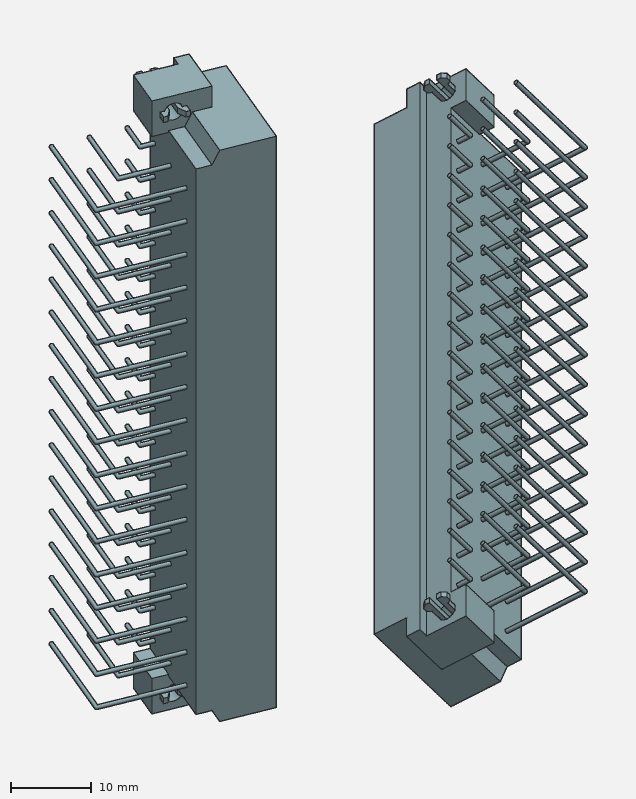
import cadquery as cq


length = 94.0
housing_left = 1.5
housing_right = 17.6
front_y = -10.8
step_x = 2.9
step_y = -7.05
end_inset = 3.2
bevel_start_y = -7.6
bevel_end_y = -8.65
bevel_drop = 2.0

ear_back_y = -5.0
ear_front_y = -13.1
ear_right = 8.8
ear_height = 5.45
hole_diameter = 2.5
hole_y = -10.15
hole_inset = 2.4

clip_width = 0.8
prong_inner = 0.6
prong_outer = 1.2
barb_reach = 1.8
barb_peak_start = 0.5
barb_peak_end = 1.1
barb_foot = 1.5
clip_end_x = 10.0

pin_diameter = 0.6
pins_per_row = 16
row_length = 76.2
pin_pitch = row_length / (pins_per_row - 1)
row_count = 3
grid_offset = -pin_pitch / 4
first_row_x = 4.3
first_row_y = -12.7
pin_embed = 0.9

half_length = length / 2
housing_top = half_length - end_inset


def box(x_min, x_max, y_min, y_max, z_min, z_max):
    """Block between the given limits on each axis."""
    return cq.Workplane("XY").box(
        x_max - x_min, y_max - y_min, z_max - z_min, centered=False
    ).translate((x_min, y_min, z_min))


def make_housing():
    """Long body with bevelled, lowered front ends and a step along its left face."""
    bevel_foot = housing_top - bevel_drop
    body = (
        cq.Workplane("YZ", origin=(housing_left, 0, 0))
        .polyline([
            (0, -housing_top),
            (0, housing_top),
            (bevel_start_y, housing_top),
            (bevel_end_y, bevel_foot),
            (front_y, bevel_foot),
            (front_y, -bevel_foot),
            (bevel_end_y, -bevel_foot),
            (bevel_start_y, -housing_top),
        ])
        .close()
        .extrude(housing_right - housing_left)
    )
    step = box(housing_left, step_x, front_y, step_y, -half_length, half_length)
    return body.cut(step)


def make_top_ear():
    """Stepped block at the top end that carries a spring clip."""
    ear = box(step_x, ear_right, ear_front_y, ear_back_y, half_length - ear_height, half_length)
    flange = box(housing_left, step_x, step_y, ear_back_y, half_length - ear_height, half_length)
    return ear.union(flange)


def make_top_hole():
    """Mounting hole through the top ear along X."""
    return (
        cq.Workplane("YZ", origin=(step_x, hole_y, half_length - hole_inset))
        .circle(hole_diameter / 2)
        .extrude(ear_right - step_x)
    )


def make_top_clip():
    """Two mirrored prongs with a bevelled barb at the left and a flared right end."""
    prong = (
        cq.Workplane("XY", origin=(0, hole_y, half_length - hole_inset))
        .polyline([
            (0, prong_inner),
            (0, prong_outer),
            (barb_peak_start, barb_reach),
            (barb_peak_end, barb_reach),
            (barb_foot, prong_outer),
            (ear_right, prong_outer),
            (ear_right, barb_reach),
            (clip_end_x, barb_reach),
            (clip_end_x, prong_outer),
            (ear_right, prong_inner),
        ])
        .close()
        .extrude(clip_width / 2, both=True)
    )
    axis_point = (0, hole_y, 0)
    return prong.union(prong.mirror("XZ", axis_point))


def make_pin(row, z):
    """Bent pin: one leg out of the housing along -Y, the other to the tip at X = 0."""
    leg_x = first_row_x + row * pin_pitch
    tip_y = first_row_y - row * pin_pitch
    radius = pin_diameter / 2
    tip_leg = cq.Workplane("YZ", origin=(0, tip_y, z)).circle(radius).extrude(leg_x)
    elbow = cq.Workplane("XY").sphere(radius).translate((leg_x, tip_y, z))
    housing_leg = (
        cq.Workplane("XZ", origin=(leg_x, front_y + pin_embed, z))
        .circle(radius)
        .extrude(front_y + pin_embed - tip_y)
    )
    return tip_leg.union(elbow).union(housing_leg)


top_ear = make_top_ear()
top_hole = make_top_hole()
top_clip = make_top_clip()

result = make_housing().union(top_ear).union(top_ear.mirror("XY"))
result = result.cut(top_hole).cut(top_hole.mirror("XY"))
result = result.union(top_clip).union(top_clip.mirror("XY"))

for row in range(row_count):
    for index in range(pins_per_row):
        pin_z = grid_offset + index * pin_pitch - row_length / 2
        result = result.union(make_pin(row, pin_z))